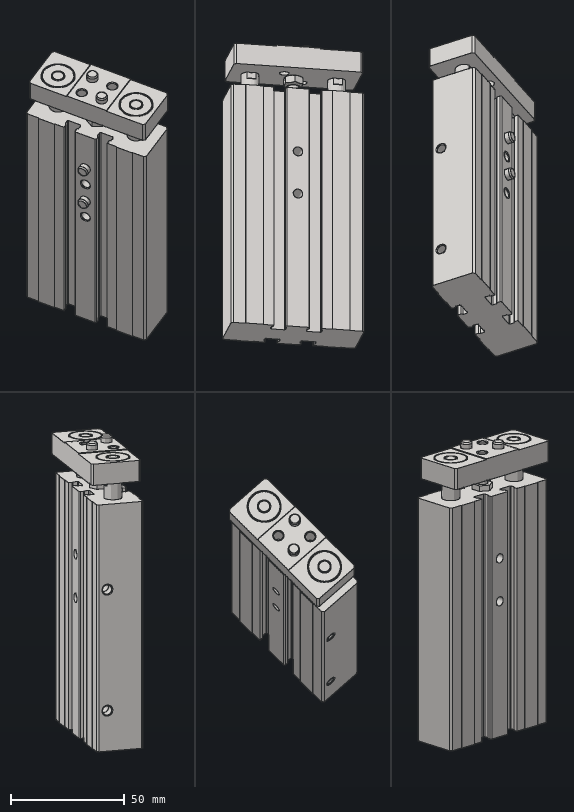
import cadquery as cq
import math

TOTAL_HEIGHT = 135.0
HOUSING_WIDTH = 60.0
HOUSING_HEIGHT = 113.0
FACE_Y = 10.8
RAISED_Y = 11.1
CORNER_CHAMFER = 1.0

ROD_SPACING = 39.0
ROD_DIAMETER = 8.0

PIN_PROTRUSION = 3.0

RIB_HALF_WIDTH = 4.9
SLOT_MOUTH_WIDTH = 6.0
SLOT_FLOOR_Y = 6.1
LIP_CHAMFER = 0.5
LIP_DEPTH = 1.8
UNDERCUT = 0.7
FLOOR_CHAMFER = 0.4

PLATE_WIDTH = 58.0
PLATE_FRONT_Y = -10.0
PLATE_BACK_Y = 13.0
PLATE_BOTTOM_Z = 121.9
PLATE_SIDE_TOP_Z = 131.6
PLATE_PAD_TOP_Z = TOTAL_HEIGHT - PIN_PROTRUSION
PLATE_PAD_WIDTH = 20.0

GROOVE_INNER_DIAMETER = 14.0
GROOVE_OUTER_DIAMETER = 15.0
GROOVE_DEPTH = 1.0
ROD_END_DIAMETER = 6.0
ROD_TIP_DIAMETER = 5.0
FLAT_HEIGHT = 3.0
FLAT_DEPTH = 0.5

HOLE_DIAMETER = 4.2
HOLE_MOUTH_DIAMETER = 5.0
HOLE_CHAMFER = (HOLE_MOUTH_DIAMETER - HOLE_DIAMETER) / 2
HOLE_PITCH = 10.0
PIN_DIAMETER = 5.0
PIN_EMBEDDED = 3.0
PIN_TIP_LENGTH = 0.8
PIN_TIP_DIAMETER = 4.2
FRONT_ROW_TOP_Z = 93.0
FRONT_HOLE_COUNT = 4

PORT_Y = 6.0
PORT_HEIGHTS = (18.6, 74.0)
PORT_DEPTH = 5.0

HEX_ACROSS_FLATS = 8.0
HEX_ACROSS_CORNERS = HEX_ACROSS_FLATS / math.cos(math.pi / 6)
HEX_CIRCLE_DIAMETER = 7.5
HEX_BEVEL_ANGLE = math.radians(30)
NUT_HEIGHT = 2.5
STOP_NECK_DIAMETER = 5.0
STOP_COLLAR_DIAMETER = 6.0
STOP_COLLAR_HEIGHT = 0.5
STOP_HEAD_HEIGHT = 3.6

UP = (0, 0, 1)
DOWN = (0, 0, -1)
INTO_FRONT = (0, 1, 0)
OUT_OF_FRONT = (0, -1, 0)
INTO_SIDE = (1, 0, 0)

ROD_XS = (-ROD_SPACING / 2, ROD_SPACING / 2)
ROD_POINTS = [(x, 0) for x in ROD_XS]
FRONT_HOLE_ZS = [FRONT_ROW_TOP_Z - i * HOLE_PITCH for i in range(FRONT_HOLE_COUNT)]
FRONT_PIN_ZS = FRONT_HOLE_ZS[0::2]
FRONT_OPEN_ZS = FRONT_HOLE_ZS[1::2]
PLATE_HOLE_OFFSET = HOLE_PITCH / 2
PLATE_PIN_POINTS = [(-PLATE_HOLE_OFFSET, PLATE_HOLE_OFFSET), (PLATE_HOLE_OFFSET, -PLATE_HOLE_OFFSET)]
PLATE_OPEN_POINTS = [(-PLATE_HOLE_OFFSET, -PLATE_HOLE_OFFSET), (PLATE_HOLE_OFFSET, PLATE_HOLE_OFFSET)]


def cylinder(diameter, length, start, direction):
    solid = cq.Solid.makeCylinder(diameter / 2, length, cq.Vector(*start), cq.Vector(*direction))
    return cq.Workplane(solid)


def cone(start_diameter, end_diameter, length, start, direction):
    solid = cq.Solid.makeCone(
        start_diameter / 2, end_diameter / 2, length, cq.Vector(*start), cq.Vector(*direction)
    )
    return cq.Workplane(solid)


def chamfered_hole(start, direction, depth):
    """Cutter for a straight hole with a chamfered mouth at its start."""
    bore = cylinder(HOLE_DIAMETER, depth, start, direction)
    mouth = cone(HOLE_MOUTH_DIAMETER, HOLE_DIAMETER, HOLE_CHAMFER, start, direction)
    return bore.union(mouth)


def make_pin(base, direction):
    """Locating pin with a tapered tip, starting at the floor of its recess."""
    shank_length = PIN_EMBEDDED + PIN_PROTRUSION - PIN_TIP_LENGTH
    shank = cylinder(PIN_DIAMETER, shank_length, base, direction)
    tip_start = cq.Vector(*base) + cq.Vector(*direction) * shank_length
    tip = cone(PIN_DIAMETER, PIN_TIP_DIAMETER, PIN_TIP_LENGTH, tip_start.toTuple(), direction)
    return shank.union(tip)


def slot(x_sign, y_sign):
    """Undercut slot beside the centre rib, running the full height of the housing."""
    near = RIB_HALF_WIDTH
    far = near + SLOT_MOUTH_WIDTH
    lip_near = near + LIP_CHAMFER
    wall_near = lip_near - UNDERCUT
    wall_far = far + UNDERCUT
    lip_end_y = FACE_Y - LIP_DEPTH
    shoulder_y = lip_end_y - UNDERCUT
    profile = [
        (near, RAISED_Y),
        (lip_near, RAISED_Y - LIP_CHAMFER),
        (lip_near, lip_end_y),
        (wall_near, shoulder_y),
        (wall_near, SLOT_FLOOR_Y + FLOOR_CHAMFER),
        (wall_near + FLOOR_CHAMFER, SLOT_FLOOR_Y),
        (wall_far - FLOOR_CHAMFER, SLOT_FLOOR_Y),
        (wall_far, SLOT_FLOOR_Y + FLOOR_CHAMFER),
        (wall_far, shoulder_y),
        (far, lip_end_y),
        (far, RAISED_Y),
    ]
    points = [(x_sign * x, y_sign * y) for x, y in profile]
    return cq.Workplane("XY").polyline(points).close().extrude(HOUSING_HEIGHT)


def side_port(z):
    """Cutter for a blind hole in the -X side with a conical bottom."""
    mouth_x = -HOUSING_WIDTH / 2
    hole = chamfered_hole((mouth_x, PORT_Y, z), INTO_SIDE, PORT_DEPTH)
    drill_point = cone(HOLE_DIAMETER, 0, HOLE_DIAMETER / 2, (mouth_x + PORT_DEPTH, PORT_Y, z), INTO_SIDE)
    return hole.union(drill_point)


def make_housing():
    """Extruded housing with the stop screw standing on its top face."""
    body = (
        cq.Workplane("XY")
        .rect(HOUSING_WIDTH, 2 * FACE_Y)
        .extrude(HOUSING_HEIGHT)
        .edges("|Z")
        .chamfer(CORNER_CHAMFER)
    )
    strips = (
        cq.Workplane("XY")
        .pushPoints(ROD_POINTS)
        .rect(ROD_DIAMETER, 2 * RAISED_Y)
        .extrude(HOUSING_HEIGHT)
    )
    rib = (
        cq.Workplane("XY")
        .rect(2 * RIB_HALF_WIDTH + SLOT_MOUTH_WIDTH, 2 * RAISED_Y)
        .extrude(HOUSING_HEIGHT)
    )
    body = body.union(strips).union(rib)
    for x_sign in (-1, 1):
        for y_sign in (-1, 1):
            body = body.cut(slot(x_sign, y_sign))

    for z in FRONT_PIN_ZS:
        body = body.cut(cylinder(PIN_DIAMETER, PIN_EMBEDDED, (0, -RAISED_Y, z), INTO_FRONT))
    for z in FRONT_OPEN_ZS:
        body = body.cut(chamfered_hole((0, -RAISED_Y, z), INTO_FRONT, 2 * RAISED_Y))
    for z in PORT_HEIGHTS:
        body = body.cut(side_port(z))
    return body.union(make_stop_screw())


def hexagon(z, height):
    """Hexagonal prism with two flats facing -X and +X."""
    return (
        cq.Workplane("XY", origin=(0, 0, z))
        .transformed(rotate=(0, 0, 90))
        .polygon(6, HEX_ACROSS_CORNERS)
        .extrude(height)
    )


def make_stop_screw():
    """Lock nut, neck and bevelled hexagon head that stops against the plate."""
    head_z = PLATE_BOTTOM_Z - STOP_HEAD_HEIGHT
    collar_z = head_z - STOP_COLLAR_HEIGHT
    nut = hexagon(HOUSING_HEIGHT, NUT_HEIGHT)
    neck = cylinder(STOP_NECK_DIAMETER, head_z - HOUSING_HEIGHT, (0, 0, HOUSING_HEIGHT), UP)
    collar = cone(STOP_COLLAR_DIAMETER, HEX_CIRCLE_DIAMETER, STOP_COLLAR_HEIGHT, (0, 0, collar_z), UP)
    bevel_width = (HEX_ACROSS_CORNERS - HEX_CIRCLE_DIAMETER) / 2
    bevel_height = bevel_width * math.tan(HEX_BEVEL_ANGLE)
    bevelled_cylinder = (
        cq.Workplane("XY", origin=(0, 0, head_z))
        .circle(HEX_ACROSS_CORNERS / 2)
        .extrude(STOP_HEAD_HEIGHT)
        .faces("<Z")
        .chamfer(bevel_height, bevel_width)
        .faces(">Z")
        .chamfer(bevel_height, bevel_width)
    )
    head = hexagon(head_z, STOP_HEAD_HEIGHT).intersect(bevelled_cylinder)
    return nut.union(neck).union(collar).union(head)


def make_plate():
    """Plate with a slightly raised middle pad, rod holes and ring grooves."""
    depth = PLATE_BACK_Y - PLATE_FRONT_Y
    middle_y = (PLATE_BACK_Y + PLATE_FRONT_Y) / 2
    plate = (
        cq.Workplane("XY", origin=(0, middle_y, PLATE_BOTTOM_Z))
        .rect(PLATE_WIDTH, depth)
        .extrude(PLATE_SIDE_TOP_Z - PLATE_BOTTOM_Z)
        .edges("|Z")
        .chamfer(CORNER_CHAMFER)
    )
    pad = (
        cq.Workplane("XY", origin=(0, middle_y, PLATE_BOTTOM_Z))
        .rect(PLATE_PAD_WIDTH, depth)
        .extrude(PLATE_PAD_TOP_Z - PLATE_BOTTOM_Z)
    )
    plate = plate.union(pad)
    rod_holes = (
        cq.Workplane("XY", origin=(0, 0, PLATE_BOTTOM_Z))
        .pushPoints(ROD_POINTS)
        .circle(ROD_END_DIAMETER / 2)
        .extrude(PLATE_SIDE_TOP_Z - PLATE_BOTTOM_Z)
    )
    ring_grooves = (
        cq.Workplane("XY", origin=(0, 0, PLATE_SIDE_TOP_Z))
        .pushPoints(ROD_POINTS)
        .circle(GROOVE_OUTER_DIAMETER / 2)
        .circle(GROOVE_INNER_DIAMETER / 2)
        .extrude(-GROOVE_DEPTH)
    )
    plate = plate.cut(rod_holes).cut(ring_grooves)
    for x, y in PLATE_PIN_POINTS:
        plate = plate.cut(cylinder(PIN_DIAMETER, PIN_EMBEDDED, (x, y, PLATE_PAD_TOP_Z), DOWN))
    for x, y in PLATE_OPEN_POINTS:
        through = PLATE_PAD_TOP_Z - PLATE_BOTTOM_Z
        plate = plate.cut(chamfered_hole((x, y, PLATE_PAD_TOP_Z), DOWN, through))
    return plate


def make_rod(x):
    """Guide rod standing on the housing, with wrench flats and a thinner end through the plate."""
    shank = (
        cq.Workplane("XY", origin=(x, 0, HOUSING_HEIGHT))
        .circle(ROD_DIAMETER / 2)
        .extrude(PLATE_BOTTOM_Z - HOUSING_HEIGHT)
    )
    flats = (
        cq.Workplane("XY", origin=(x, 0, PLATE_BOTTOM_Z))
        .pushPoints([(0, -ROD_DIAMETER / 2), (0, ROD_DIAMETER / 2)])
        .rect(ROD_DIAMETER, 2 * FLAT_DEPTH)
        .extrude(-FLAT_HEIGHT)
    )
    end = (
        cq.Workplane("XY", origin=(x, 0, PLATE_BOTTOM_Z))
        .circle(ROD_END_DIAMETER / 2)
        .extrude(PLATE_SIDE_TOP_Z - PLATE_BOTTOM_Z)
        .faces(">Z")
        .chamfer((ROD_END_DIAMETER - ROD_TIP_DIAMETER) / 2)
    )
    return shank.cut(flats).union(end)


housing = make_housing()
plate = make_plate()
rods = [make_rod(x).val() for x in ROD_XS]
front_pins = [make_pin((0, PIN_EMBEDDED - RAISED_Y, z), OUT_OF_FRONT).val() for z in FRONT_PIN_ZS]
plate_pins = [make_pin((x, y, PLATE_PAD_TOP_Z - PIN_EMBEDDED), UP).val() for x, y in PLATE_PIN_POINTS]

result = cq.Compound.makeCompound([housing.val(), plate.val(), *rods, *front_pins, *plate_pins])